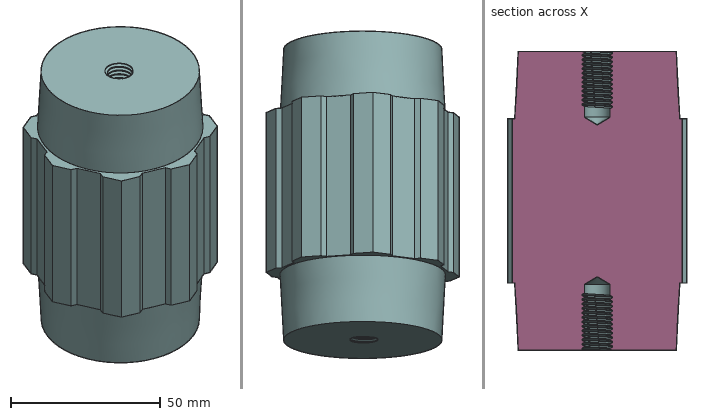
import cadquery as cq
import math

total_height = 100
grip_height = 55
end_height = (total_height - grip_height) / 2
end_base_diameter = 55.4
draft_angle = 3

side_count = 8
across_flats = 60
notch_depth = 1.5
notch_mouth_width = 11.4
notch_floor_width = notch_mouth_width - 2 * notch_depth

thread_minor_diameter = 8.5
thread_major_diameter = 10.2
thread_pitch = 1.5
thread_angle = 60
thread_root_ratio = 1 / 8
thread_turns = 12
thread_start_angle = 30
groove_overlap = 0.1
bore_depth = 22
drill_point_angle = 118


def rotated(point, angle):
    """Turn a point about the origin by an angle in degrees."""
    x, y = point
    c = math.cos(math.radians(angle))
    s = math.sin(math.radians(angle))
    return (x * c - y * s, x * s + y * c)


def make_grip():
    apothem = across_flats / 2
    floor = apothem - notch_depth
    step = 360 / side_count
    corner = apothem * math.tan(math.radians(step / 2))
    flat_with_notch = [
        (apothem, -corner),
        (apothem, -notch_mouth_width / 2),
        (floor, -notch_floor_width / 2),
        (floor, notch_floor_width / 2),
        (apothem, notch_mouth_width / 2),
    ]
    outline = [rotated(p, i * step) for i in range(side_count) for p in flat_with_notch]
    return cq.Workplane("XY").polyline(outline).close().extrude(grip_height / 2, both=True)


def make_tapered_end():
    """Drafted round end standing on the upper face of the grip."""
    base = cq.Workplane("XY").workplane(offset=grip_height / 2)
    return base.circle(end_base_diameter / 2).extrude(end_height, taper=draft_angle)


def make_bore():
    """Cutter for the upper hole: plain bore with a conical drill point."""
    radius = thread_minor_diameter / 2
    top = total_height / 2
    bottom = top - bore_depth
    tip = bottom - radius / math.tan(math.radians(drill_point_angle / 2))
    profile = cq.Workplane("YZ").polyline([(0, top), (radius, top), (radius, bottom), (0, tip)]).close()
    return profile.revolve(360, (0, 0, 0), (0, 1, 0))


def make_thread_groove():
    """Cutter for the upper thread: a 60 degree groove that winds up and out of the end face."""
    root = thread_major_diameter / 2
    inner = thread_minor_diameter / 2 - groove_overlap
    half_root = thread_pitch * thread_root_ratio / 2
    half_mouth = half_root + (root - inner) * math.tan(math.radians(thread_angle / 2))
    start = total_height / 2 - (thread_turns + 0.5) * thread_pitch
    helix_height = (thread_turns + 1.5) * thread_pitch
    helix = cq.Wire.makeHelix(thread_pitch, helix_height, root, center=cq.Vector(0, 0, start))
    profile = cq.Workplane("XZ").polyline([
        (inner, start - half_mouth),
        (root, start - half_root),
        (root, start + half_root),
        (inner, start + half_mouth),
    ]).close()
    groove = profile.sweep(cq.Workplane(helix), isFrenet=True)
    return groove.rotate((0, 0, 0), (0, 0, 1), thread_start_angle)


upper_end = make_tapered_end()
upper_bore = make_bore()
upper_groove = make_thread_groove()

result = make_grip()
for half_turn in (0, 180):
    result = result.union(upper_end.rotate((0, 0, 0), (1, 0, 0), half_turn))
for half_turn in (0, 180):
    for cutter in (upper_bore, upper_groove):
        result = result.cut(cutter.rotate((0, 0, 0), (1, 0, 0), half_turn))